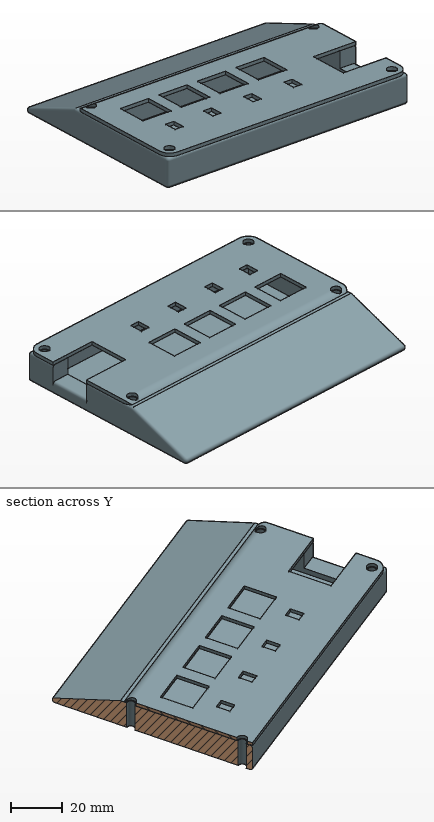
import cadquery as cq
import math

LENGTH = 86.6
WIDTH = 119.2
BASE_HEIGHT = 13.0
LID_THICKNESS = 1.5
EDGE_RADIUS = 1.3

SLOPE_ANGLE = 20.0

WALL = 8.0
FLOOR = 3.0

LID_FRONT_X = 29.7
LID_RADIUS = 5.0

SCREW_INSET = 4.5
SCREW_FRONT_X = 34.0
LID_HOLE_DIAMETER = 4.3
BASE_HOLE_DIAMETER = 3.5

NOTCH_WIDTH = 18.4
NOTCH_CENTER_X = 63.7
NOTCH_LID_DEPTH = 21.1
SILL_HEIGHT = 5.5

KEY_SIZE = 14.0
KEY_CENTER_X = 50.1
KEY_PITCH = 19.1
KEY_FIRST_Y = -40.9
KEY_COUNT = 4
LED_LENGTH = 5.8
LED_WIDTH = 4.0
LED_CENTER_X = 67.7
LED_CENTERS_Y = [-41.0, -22.3, -2.4, 17.6]

BACK_Y = WIDTH / 2
LID_TOP = BASE_HEIGHT + LID_THICKNESS
CAVITY_FRONT_X = SCREW_FRONT_X + WALL / 2
SCREW_POINTS = [
    (x, side * (BACK_Y - SCREW_INSET))
    for x in (SCREW_FRONT_X, LENGTH - SCREW_INSET)
    for side in (-1, 1)
]


def box(x_min, x_max, y_min, y_max, z_min, z_max):
    """Rectangular block between opposite corners."""
    size = (x_max - x_min, y_max - y_min, z_max - z_min)
    return cq.Workplane("XY").box(*size, centered=False).translate((x_min, y_min, z_min))


def screw_holes(diameter):
    """Four vertical cylinders, taller than the whole case, at the screw positions."""
    return cq.Workplane("XY").pushPoints(SCREW_POINTS).circle(diameter / 2).extrude(LID_TOP)


def notch(depth, z_min):
    """Block for the cable notch, reaching inwards from the back face."""
    half = NOTCH_WIDTH / 2
    return box(NOTCH_CENTER_X - half, NOTCH_CENTER_X + half, BACK_Y - depth, BACK_Y, z_min, LID_TOP)


def wedge():
    """Solid case shape with a sloped front; every outer edge is rounded except the knee."""
    slope = math.radians(SLOPE_ANGLE)
    toe_x = EDGE_RADIUS - EDGE_RADIUS / math.tan(slope / 2)
    profile = [
        (toe_x, 0),
        (LENGTH, 0),
        (LENGTH, BASE_HEIGHT),
        (toe_x + BASE_HEIGHT / math.tan(slope), BASE_HEIGHT),
    ]
    body = cq.Workplane("XZ").polyline(profile).close().extrude(BACK_Y, both=True)
    body = body.edges("|Y and <X").fillet(EDGE_RADIUS)
    return body.edges("<Y or >Y or >X").fillet(EDGE_RADIUS)


def make_base():
    """Hollow base with a cable sill whose outer edge is rounded."""
    base = wedge()
    cavity = box(CAVITY_FRONT_X, LENGTH - WALL, WALL - BACK_Y, BACK_Y - WALL, FLOOR, BASE_HEIGHT)
    base = base.cut(cavity).cut(notch(WALL, SILL_HEIGHT))
    sill_edge = cq.selectors.NearestToPointSelector((NOTCH_CENTER_X, BACK_Y, SILL_HEIGHT))
    base = base.edges(sill_edge).fillet(EDGE_RADIUS)
    return base.cut(screw_holes(BASE_HOLE_DIAMETER))


def lid_blank():
    """Plate with rounded corners and a rounded front edge."""
    block = box(LID_FRONT_X, LENGTH, -BACK_Y, BACK_Y, LID_TOP - 2 * LID_RADIUS, LID_TOP)
    front_rounded = block.edges("|Y and <X and >Z").fillet(LID_RADIUS)
    slab = box(LID_FRONT_X, LENGTH, -BACK_Y, BACK_Y, BASE_HEIGHT, LID_TOP)
    corners_rounded = slab.edges("|Z").fillet(LID_RADIUS)
    return corners_rounded.intersect(front_rounded)


def windows(centers, length, width):
    """Rectangular through-cutters for the lid."""
    return (
        cq.Workplane("XY", origin=(0, 0, BASE_HEIGHT))
        .pushPoints(centers)
        .rect(length, width)
        .extrude(LID_THICKNESS)
    )


def make_lid():
    """Lid with key and indicator windows, a cable notch and screw holes."""
    key_centers = [(KEY_CENTER_X, KEY_FIRST_Y + i * KEY_PITCH) for i in range(KEY_COUNT)]
    led_centers = [(LED_CENTER_X, y) for y in LED_CENTERS_Y]
    return (
        lid_blank()
        .cut(windows(key_centers, KEY_SIZE, KEY_SIZE))
        .cut(windows(led_centers, LED_LENGTH, LED_WIDTH))
        .cut(notch(NOTCH_LID_DEPTH, BASE_HEIGHT))
        .cut(screw_holes(LID_HOLE_DIAMETER))
    )


base = make_base()
lid = make_lid()
result = cq.Compound.makeCompound([base.val(), lid.val()])